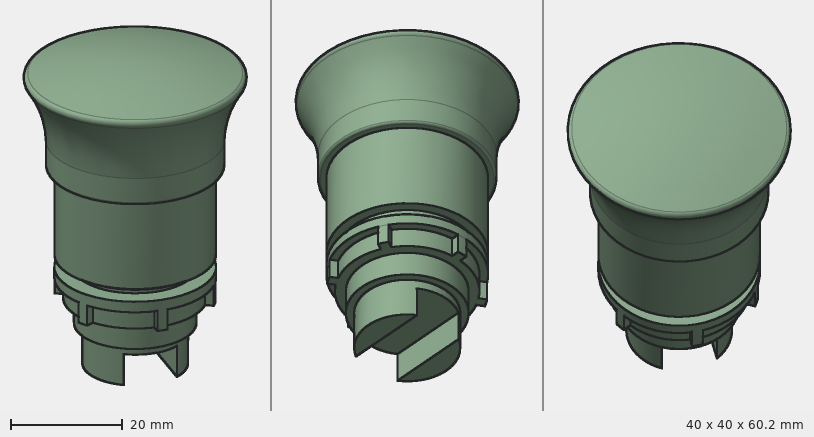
import cadquery as cq
import math

Z_SLOT_TOP = 6.15
Z_BASE_TOP = 8.0
Z_NUT_BOTTOM = 13.0
Z_FLANGE_BOTTOM = 17.0
Z_NUT_TOP = 19.1
Z_LIP_BOTTOM = 20.5
Z_COLLAR_BOTTOM = 21.6
Z_SKIRT_BOTTOM = 39.0
Z_SKIRT_TOP = 44.3
Z_RIM_BOTTOM = 56.05
Z_RIM_TOP = 57.55
Z_DOME_TOP = 60.2

R_BASE = 9.5
R_NECK = 11.0
R_LIP = 12.6
R_COLLAR = 14.5
R_SKIRT = 16.0
R_RIM = 20.0
R_DOME_EDGE = 19.25
R_FLARE_TOP = 19.75

SKIRT_ROUND = 0.5
FLARE_MID_RADIUS = 17.0

SLOT_WIDTH = 10.1

R_NUT_RING = 12.95
TAB_COUNT = 6
TAB_WIDTH = 2.0


def make_operator():
    """Mushroom head, collar, neck and forked base, turned as one piece."""
    round_mid = SKIRT_ROUND * (1 - math.sqrt(0.5))
    flare_mid = (FLARE_MID_RADIUS, (Z_SKIRT_TOP + Z_RIM_BOTTOM) / 2)
    rim_mid = (R_RIM, (Z_RIM_BOTTOM + Z_RIM_TOP) / 2)
    dome_rise = Z_DOME_TOP - Z_RIM_TOP
    dome_radius = (R_DOME_EDGE**2 + dome_rise**2) / (2 * dome_rise)
    dome_mid_x = R_DOME_EDGE / 2
    dome_mid_z = Z_DOME_TOP - dome_radius + math.sqrt(dome_radius**2 - dome_mid_x**2)

    turned = (
        cq.Workplane("XZ")
        .moveTo(0, 0)
        .lineTo(R_BASE, 0)
        .lineTo(R_BASE, Z_BASE_TOP)
        .lineTo(R_NECK, Z_BASE_TOP)
        .lineTo(R_NECK, Z_LIP_BOTTOM)
        .lineTo(R_LIP, Z_LIP_BOTTOM)
        .lineTo(R_LIP, Z_COLLAR_BOTTOM)
        .lineTo(R_COLLAR, Z_COLLAR_BOTTOM)
        .lineTo(R_COLLAR, Z_SKIRT_BOTTOM)
        .lineTo(R_SKIRT - SKIRT_ROUND, Z_SKIRT_BOTTOM)
        .threePointArc(
            (R_SKIRT - round_mid, Z_SKIRT_BOTTOM + round_mid),
            (R_SKIRT, Z_SKIRT_BOTTOM + SKIRT_ROUND),
        )
        .lineTo(R_SKIRT, Z_SKIRT_TOP)
        .threePointArc(flare_mid, (R_FLARE_TOP, Z_RIM_BOTTOM))
        .threePointArc(rim_mid, (R_DOME_EDGE, Z_RIM_TOP))
        .threePointArc((dome_mid_x, dome_mid_z), (0, Z_DOME_TOP))
        .close()
        .revolve(360, (0, 0), (0, 1))
    )
    slot = cq.Workplane("XY").box(2 * R_BASE, SLOT_WIDTH, Z_SLOT_TOP, centered=(True, True, False))
    return turned.cut(slot)


def make_nut():
    """Flanged ring nut on the neck, with radial grip tabs under its flange."""
    tab_height = Z_FLANGE_BOTTOM - Z_NUT_BOTTOM
    ring = cq.Workplane("XY", origin=(0, 0, Z_NUT_BOTTOM)).circle(R_NUT_RING).extrude(tab_height)
    flange = (
        cq.Workplane("XY", origin=(0, 0, Z_FLANGE_BOTTOM))
        .circle(R_COLLAR)
        .extrude(Z_NUT_TOP - Z_FLANGE_BOTTOM)
    )
    tab_limit = cq.Workplane("XY", origin=(0, 0, Z_NUT_BOTTOM)).circle(R_COLLAR).extrude(tab_height)
    tab = (
        cq.Workplane("XY", origin=(0, 0, Z_NUT_BOTTOM))
        .box(R_COLLAR, TAB_WIDTH, tab_height, centered=(False, True, False))
        .intersect(tab_limit)
    )
    nut = ring.union(flange)
    for index in range(TAB_COUNT):
        nut = nut.union(tab.rotate((0, 0, 0), (0, 0, 1), index * 360 / TAB_COUNT))
    bore = (
        cq.Workplane("XY", origin=(0, 0, Z_NUT_BOTTOM))
        .circle(R_NECK)
        .extrude(Z_NUT_TOP - Z_NUT_BOTTOM)
    )
    return nut.cut(bore)


operator = make_operator()
nut = make_nut()

result = cq.Compound.makeCompound([operator.val(), nut.val()])